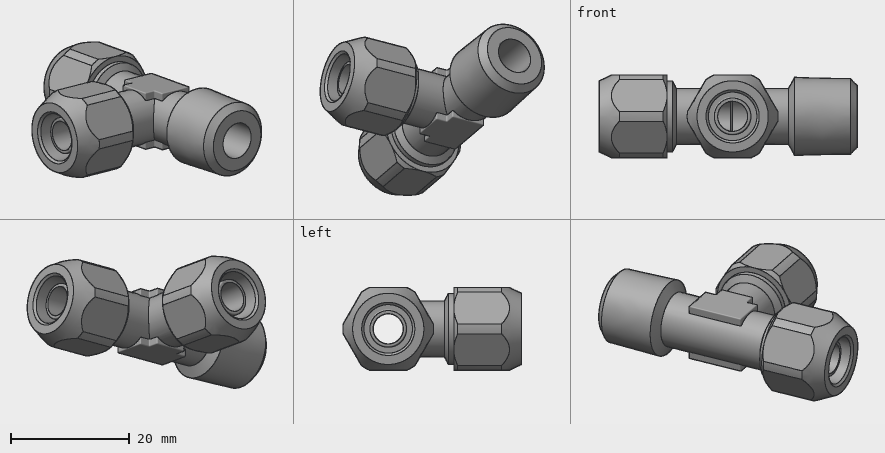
import cadquery as cq
import math


total_length = 43.5
arm_length = 22.5
male_length = total_length - arm_length

body_radius = 4.75
bore_radius = 2.52
male_bore_radius = 3.1
drill_tip_length = 0.35

nut_flats = 14.0
nut_corner_radius = 7.65
nut_face_radius = 6.0
nut_length = 11.45
nut_taper_length = 3.4

collar_radius = 6.0
collar_length = 0.9
collar_taper_length = 0.65

socket_mouth_radius = 4.5
socket_radius = 4.1
socket_chamfer = socket_mouth_radius - socket_radius
sleeve_recess = 1.6
sleeve_radius = 3.1

male_start = 9.4
male_shoulder_length = 1.05
male_large_radius = 6.6
male_small_radius = 6.4
male_chamfer = 1.17

pad_half_width = 5.0
pad_half_depth = 3.0
tab_half_width = 3.0
tab_reach = 5.0
pad_height = 5.0

edge_fillet = 0.2


def revolved(profile):
    """Full turn of a closed profile about the X axis."""
    return profile.revolve(360, (0, 0, 0), (1, 0, 0))


def turned(points):
    """Solid of revolution about X from straight-sided (x, radius) points."""
    return revolved(cq.Workplane("XY").polyline(points).close())


def branch_copy(shape):
    """Turn a -X arm feature about Z so that it points along -Y."""
    return shape.rotate((0, 0, 0), (0, 0, 1), 90)


def nut():
    """Hexagon nut with turned corners, a long front taper and a short rear chamfer."""
    face = -arm_length
    rear = face + nut_length
    half_flats = nut_flats / 2
    rear_chamfer = nut_corner_radius - half_flats
    hexagon = (
        cq.Workplane("YZ", origin=(face, 0, 0))
        .polygon(6, nut_flats / math.cos(math.pi / 6))
        .extrude(nut_length)
    )
    envelope = turned([
        (face, 0),
        (face, nut_face_radius),
        (face + nut_taper_length, nut_corner_radius),
        (rear - rear_chamfer, nut_corner_radius),
        (rear, half_flats),
        (rear, 0),
    ])
    return hexagon.intersect(envelope)


def arm_body():
    """Tube from the nut to the crossing, with the collar that meets the nut."""
    start = -arm_length + nut_length
    collar_end = start + collar_length
    return turned([
        (start, 0),
        (start, collar_radius),
        (collar_end, collar_radius),
        (collar_end + collar_taper_length, body_radius),
        (0, body_radius),
        (0, 0),
    ])


def socket():
    """Void around and in front of the insert sleeve."""
    face = -arm_length
    sleeve_tip = face + sleeve_recess
    floor = face + nut_length
    profile = (
        cq.Workplane("XY")
        .moveTo(face, 0)
        .lineTo(face, socket_mouth_radius)
        .lineTo(face + socket_chamfer, socket_radius)
        .lineTo(floor, socket_radius)
        .lineTo(floor, sleeve_radius + edge_fillet)
        .tangentArcPoint((-edge_fillet, -edge_fillet))
        .lineTo(sleeve_tip + edge_fillet, sleeve_radius)
        .tangentArcPoint((-edge_fillet, -edge_fillet))
        .lineTo(sleeve_tip, 0)
        .close()
    )
    return revolved(profile)


def arm_bore():
    """Straight bore from the nut face to the crossing."""
    return turned([(-arm_length, 0), (-arm_length, bore_radius), (0, bore_radius), (0, 0)])


def male_arm():
    """Tube leading to the tapered male end."""
    shoulder_end = male_start + male_shoulder_length
    return turned([
        (0, 0),
        (0, body_radius),
        (male_start, body_radius),
        (shoulder_end, male_large_radius),
        (male_length - male_chamfer, male_small_radius),
        (male_length, male_small_radius - male_chamfer),
        (male_length, 0),
    ])


def male_bore():
    """Larger bore of the male arm, ending in a drill-tip cone."""
    return turned([
        (-drill_tip_length, 0),
        (-drill_tip_length, bore_radius),
        (0, male_bore_radius),
        (male_length, male_bore_radius),
        (male_length, 0),
    ])


def pads():
    """T-shaped block through the crossing, with all its edges rounded."""
    outline = [
        (-pad_half_width, pad_half_depth),
        (pad_half_width, pad_half_depth),
        (pad_half_width, -pad_half_depth),
        (tab_half_width, -pad_half_depth),
        (tab_half_width, -tab_reach),
        (-tab_half_width, -tab_reach),
        (-tab_half_width, -pad_half_depth),
        (-pad_half_width, -pad_half_depth),
    ]
    block = cq.Workplane("XY").polyline(outline).close().extrude(pad_height, both=True)
    return block.edges("|Z").fillet(edge_fillet).faces("|Z").edges().fillet(edge_fillet)


compression_arm = nut().union(arm_body())
solid_tee = compression_arm.union(branch_copy(compression_arm)).union(male_arm()).union(pads())

result = solid_tee.cut(male_bore())
for void in (socket(), arm_bore()):
    result = result.cut(void).cut(branch_copy(void))